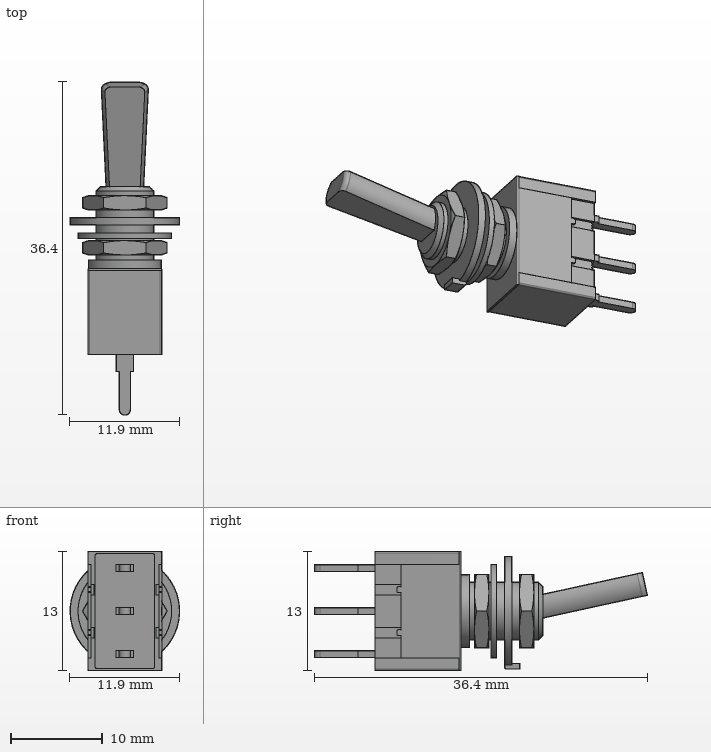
import cadquery as cq
import math


overall_length = 36.35

case_width = 8.07
case_height = 13.0
web_thickness = 0.2
frame_back = 9.4
case_length = frame_back - web_thickness
case_edge_radius = 0.18
base_width = 6.5
base_height = 12.58
base_recess = 0.1
base_corner_radius = 0.25

leg_height = 10.18
leg_thickness = 0.33
leg_end = 2.87
bend_radius = 0.18
tongue_height = 0.65
tongue_length = 0.47
tongue_chamfer = 0.1
slot_height = 1.13
slot_depth = 0.65

terminal_pitch = 4.7
terminal_thickness = 0.75
shoulder_width = 1.9
shoulder_length = 1.85
blade_width = 1.25
terminal_length = 6.6

flange_diameter = 8.0
flange_length = 0.9
bushing_diameter = 6.32
bushing_end = 18.32
bushing_end_diameter = 5.35
bushing_chamfer = (bushing_diameter - bushing_end_diameter) / 2

nut_across_flats = 8.0
nut_thickness = 1.55
nut_chamfer = 0.2
nut_starts = [10.87, 15.78]
washer_diameter = 10.2
washer_thickness = 0.6
washer_start = 12.65
locking_diameter = 11.95
locking_thickness = 0.8
locking_start = 14.15
tab_width = 2.0
tab_length = 1.67
tab_thickness = 0.6
tab_bottom = -6.32
tab_bend_radius = 0.2

lever_tilt = 12.3
lever_pivot = 15.85
lever_thickness = 2.55
lever_root_width = 3.9
lever_tip_width = 5.2
lever_side_radius = 4.45 / 2
lever_tip_radius = 0.55
lever_tip_end = overall_length - terminal_length
tilt_angle = math.radians(lever_tilt)
lever_reach = lever_tip_end - lever_pivot - lever_thickness / 2 * math.sin(tilt_angle)
lever_length = lever_reach / math.cos(tilt_angle)

slot_heights = (-terminal_pitch / 2, terminal_pitch / 2)


def block(width, length, height, start, x=0.0, z=0.0):
    """Box centred on (x, z) that runs from Y = start to start + length."""
    return cq.Workplane("XY").box(width, length, height).translate((x, start + length / 2, z))


def disc(diameter, start, length):
    """Cylinder on the Y axis that runs from Y = start to start + length."""
    return cq.Workplane("XZ", origin=(0, start, 0)).circle(diameter / 2).extrude(-length)


def lever_section(width):
    """Section of the lever: flat top and bottom, bulging sides."""
    half_thickness = lever_thickness / 2
    bulge = lever_side_radius - math.sqrt(lever_side_radius**2 - half_thickness**2)
    side = width / 2
    flat = side - bulge
    return (
        cq.Sketch()
        .segment((-flat, -half_thickness), (flat, -half_thickness))
        .arc((flat, -half_thickness), (side, 0), (flat, half_thickness))
        .segment((flat, half_thickness), (-flat, half_thickness))
        .arc((-flat, half_thickness), (-side, 0), (-flat, -half_thickness))
        .assemble()
    )


def make_lever():
    lever = (
        cq.Workplane("XZ")
        .placeSketch(
            lever_section(lever_root_width),
            lever_section(lever_tip_width).moved(cq.Location(cq.Vector(0, 0, -lever_length))),
        )
        .loft(ruled=True)
    )
    lever = lever.faces(">Y").edges("not #Z").edges("<X or >X").fillet(lever_tip_radius)
    return lever.rotate((0, 0, 0), (1, 0, 0), lever_tilt).translate((0, lever_pivot, 0))


def make_leg(side):
    """Frame leg with two tongues; side is -1 or +1 along X."""
    x = side * (case_width - leg_thickness) / 2
    leg = block(leg_thickness, case_length - leg_end, leg_height, leg_end, x)
    for z in slot_heights:
        tongue = block(leg_thickness, tongue_length, tongue_height, leg_end - tongue_length, x, z)
        leg = leg.union(tongue.edges("|X and <Y").chamfer(tongue_chamfer))
    return leg


def make_frame(lever):
    """Bushing, flange, web and two legs, with the socket that holds the lever."""
    web = block(case_width, web_thickness, case_height, case_length)
    web = web.edges("|Z and >Y").fillet(bend_radius)
    bushing = disc(bushing_diameter, frame_back, bushing_end - frame_back)
    bushing = bushing.faces(">Y").chamfer(bushing_chamfer)
    frame = web.union(disc(flange_diameter, frame_back, flange_length)).union(bushing)
    for side in (-1, 1):
        frame = frame.union(make_leg(side))
    return frame.cut(lever)


def make_case():
    """Case with recesses for the legs, tongue slots and a pocket for the base."""
    case = block(case_width, case_length, case_height, 0).edges("|Y").fillet(case_edge_radius)
    for side in (-1, 1):
        x = side * (case_width - leg_thickness) / 2
        case = case.cut(block(leg_thickness, case_length, leg_height, 0, x))
        slot_x = side * (case_width - slot_depth) / 2
        for z in slot_heights:
            case = case.cut(block(slot_depth, leg_end, slot_height, 0, slot_x, z))
    return case.cut(make_base_block(0))


def make_base_block(start):
    """Rounded block from Y = start to the bottom of the pocket, level with the leg ends."""
    base = block(base_width, leg_end - start, base_height, start)
    return base.edges("|Y").fillet(base_corner_radius)


def make_terminal(z):
    """Flat terminal with a wide shoulder and a round-ended blade, standing on the base."""
    tip_radius = blade_width / 2
    tip_center = tip_radius - terminal_length
    shoulder = block(shoulder_width, shoulder_length + base_recess, terminal_thickness, -shoulder_length, z=z)
    blade = block(blade_width, base_recess - tip_center, terminal_thickness, tip_center, z=z)
    tip = cq.Workplane("XY").cylinder(terminal_thickness, tip_radius).translate((0, tip_center, z))
    return shoulder.union(blade).union(tip)


def make_base():
    """Base with its three terminals."""
    base = make_base_block(base_recess)
    for z in (-terminal_pitch, 0, terminal_pitch):
        base = base.union(make_terminal(z))
    return base


def make_nut(start):
    """Hexagon nut with corners on the X axis, chamfered on both faces."""
    corner_diameter = nut_across_flats / math.cos(math.pi / 6)
    nut = (
        cq.Workplane("XZ", origin=(0, start, 0))
        .polygon(6, corner_diameter)
        .extrude(-nut_thickness)
    )
    corner_depth = (corner_diameter - nut_across_flats) / 2
    envelope = disc(corner_diameter, start, nut_thickness)
    envelope = envelope.faces("<Y").chamfer(nut_chamfer, corner_depth)
    envelope = envelope.faces(">Y").chamfer(nut_chamfer, corner_depth)
    return nut.intersect(envelope).cut(disc(bushing_diameter, start, nut_thickness))


def make_washer():
    washer = disc(washer_diameter, washer_start, washer_thickness)
    return washer.cut(disc(bushing_diameter, washer_start, washer_thickness))


def make_locking_washer():
    """Washer with a tab at its lower edge bent towards the lever."""
    washer = disc(locking_diameter, locking_start, locking_thickness)
    tab = block(tab_width, tab_length, tab_thickness, locking_start, z=tab_bottom + tab_thickness / 2)
    tab = tab.edges("|X and <Y and <Z").fillet(tab_bend_radius)
    return washer.union(tab).cut(disc(bushing_diameter, locking_start, locking_thickness))


lever = make_lever()
frame = make_frame(lever)
case = make_case()
base = make_base()
nuts = [make_nut(start) for start in nut_starts]
washer = make_washer()
locking_washer = make_locking_washer()

result = cq.Compound.makeCompound(
    [lever.val(), frame.val(), case.val(), base.val(), washer.val(), locking_washer.val()]
    + [nut.val() for nut in nuts]
)